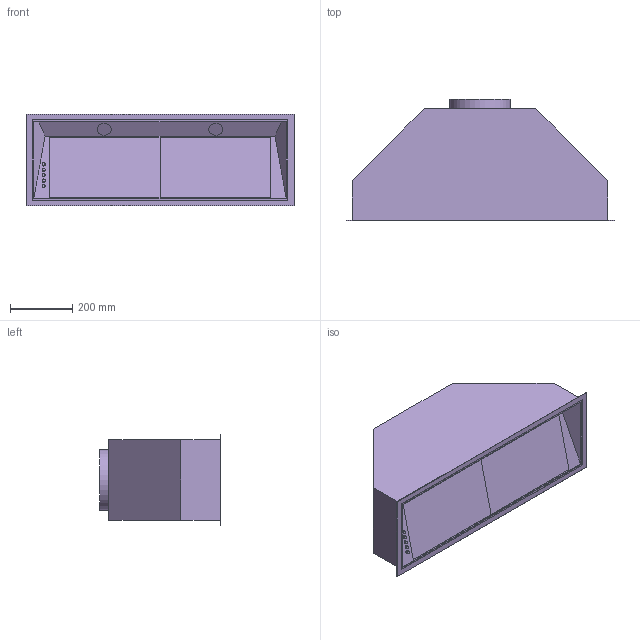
import cadquery as cq
import math


housing_width = 824.0
housing_height = 258.0
housing_depth = 360.0
back_corner_cut = 232.0

collar_diameter = 196.0
collar_length = 30.0

frame_width = 864.0
frame_height = 295.0
frame_thickness = 1.0

rim = 5.0
mouth_depth = 2.5
cavity_width = housing_width - 2 * rim
cavity_height = housing_height - 2 * rim
slope_depth = 48.0
cavity_side_taper = 36.0
ceiling_offset = 20.0
ceiling_drop = 47.0
cavity_top = cavity_height / 2
cavity_bottom = -cavity_top
ceiling_start = mouth_depth + ceiling_offset
cavity_depth = mouth_depth + slope_depth
panel_top = cavity_top - ceiling_drop

panel_length = math.hypot(slope_depth, panel_top - cavity_bottom)
panel_tilt = math.degrees(math.atan2(slope_depth, panel_top - cavity_bottom))
ceiling_run = slope_depth - ceiling_offset
ceiling_tilt = math.degrees(math.atan2(ceiling_run, ceiling_drop))

filter_span = 710.0
filter_margin = 3.5
filter_thickness = 10.0
filter_width = filter_span / 2
filter_length = panel_length - 2 * filter_margin

lamp_diameter = 45.0
lamp_spacing = 360.0
lamp_thickness = 10.0
lamp_offset = -1.5

button_count = 5
button_diameter = 9.5
button_height = 6.5
button_pitch = 18.0
button_x = -375.0
button_row_offset = -27.0


def panel_plane():
    """Plane at the middle of the back panel: local y climbs the slope, the normal points out."""
    origin = (0, mouth_depth + slope_depth / 2, (panel_top + cavity_bottom) / 2)
    return cq.Plane(origin=origin, xDir=(1, 0, 0), normal=(0, -1, 0)).rotated((-panel_tilt, 0, 0))


def ceiling_plane():
    """Plane at the middle of the sloping ceiling, with its normal pointing into the cavity."""
    origin = (0, (ceiling_start + cavity_depth) / 2, (cavity_top + panel_top) / 2)
    return cq.Plane(origin=origin, xDir=(1, 0, 0), normal=(0, -1, 0)).rotated((ceiling_tilt, 0, 0))


def make_cavity():
    side_profile = (
        cq.Workplane("YZ")
        .moveTo(0, cavity_bottom)
        .lineTo(mouth_depth, cavity_bottom)
        .lineTo(cavity_depth, panel_top)
        .lineTo(ceiling_start, cavity_top)
        .lineTo(0, cavity_top)
        .close()
        .extrude(cavity_width / 2, both=True)
    )
    front_half = cavity_width / 2
    back_half = front_half - cavity_side_taper
    plan = (
        cq.Workplane("XY")
        .moveTo(-front_half, 0)
        .lineTo(front_half, 0)
        .lineTo(front_half, mouth_depth)
        .lineTo(back_half, cavity_depth)
        .lineTo(-back_half, cavity_depth)
        .lineTo(-front_half, mouth_depth)
        .close()
        .extrude(cavity_height / 2, both=True)
    )
    return side_profile.intersect(plan)


def make_box():
    half_width = housing_width / 2
    back_half_width = half_width - back_corner_cut
    corner_y = housing_depth - back_corner_cut
    return (
        cq.Workplane("XY")
        .moveTo(-half_width, 0)
        .lineTo(half_width, 0)
        .lineTo(half_width, corner_y)
        .lineTo(back_half_width, housing_depth)
        .lineTo(-back_half_width, housing_depth)
        .lineTo(-half_width, corner_y)
        .close()
        .extrude(housing_height / 2, both=True)
    )


def make_collar():
    back_face = cq.Workplane("XZ", origin=(0, housing_depth, 0))
    return back_face.circle(collar_diameter / 2).extrude(-collar_length)


def make_buttons():
    row_center = (button_x, button_row_offset)
    return (
        cq.Workplane(panel_plane())
        .center(*row_center)
        .rarray(1, button_pitch, 1, button_count)
        .circle(button_diameter / 2)
        .extrude(button_height)
    )


def make_filter(x_center):
    return (
        cq.Workplane(panel_plane())
        .center(x_center, 0)
        .rect(filter_width, filter_length)
        .extrude(-filter_thickness)
    )


def make_lamp(x_center):
    return (
        cq.Workplane(ceiling_plane())
        .center(x_center, lamp_offset)
        .circle(lamp_diameter / 2)
        .extrude(-lamp_thickness)
    )


def make_frame():
    return (
        cq.Workplane("XZ")
        .rect(frame_width, frame_height)
        .rect(housing_width, housing_height)
        .extrude(-frame_thickness)
    )


filters = [make_filter(side * filter_width / 2) for side in (-1, 1)]
lamps = [make_lamp(side * lamp_spacing / 2) for side in (-1, 1)]
frame = make_frame()

housing = make_box().union(make_collar()).cut(make_cavity()).union(make_buttons())
for insert in filters + lamps:
    housing = housing.cut(insert)

result = cq.Compound.makeCompound(
    [housing.val(), frame.val(), *[part.val() for part in filters], *[part.val() for part in lamps]]
)